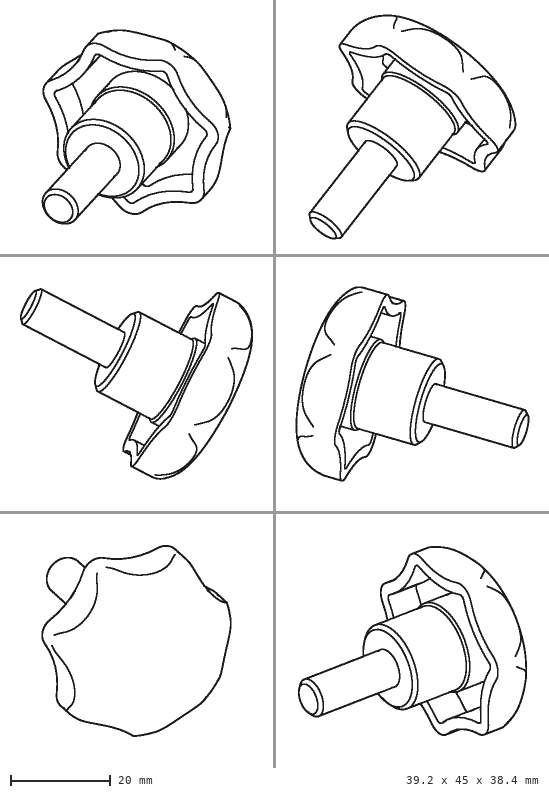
import cadquery as cq
import math

LOBES = 7
TIP_REACH = 20.0
TIP_ROUND = 3.6
VALLEY_REACH = 17.1
WALL = 2.5

HEAD_HEIGHT = 11.95
DOME_RADIUS = 60.03
SHOULDER_ROUND = 7.0
CAVITY_DEPTH = 7.0

COLLAR_DIAMETER = 19.0
HUB_DIAMETER = 18.0
HUB_LENGTH = 13.0
STUD_DIAMETER = 8.0
STUD_LENGTH = 20.0
CHAMFER = 0.8


def polar(radius, angle):
    return (radius * math.cos(angle), radius * math.sin(angle))


def star(inset, depth):
    """Seven-lobed prism from the rim toward +Y, its outline moved inward by inset."""
    half_pitch = math.pi / LOBES
    tip_center = TIP_REACH - TIP_ROUND
    across = tip_center * math.sin(half_pitch)
    along = VALLEY_REACH - tip_center * math.cos(half_pitch)
    scallop = (across**2 + along**2 - TIP_ROUND**2) / (2 * (TIP_ROUND - along))
    swing = math.asin(across / (scallop + TIP_ROUND))
    reach = VALLEY_REACH + scallop - (scallop + inset) * math.cos(swing)
    offset = (scallop + inset) * math.sin(swing)
    joint_radius = math.hypot(reach, offset)
    joint_angle = math.atan2(offset, reach)

    first_valley = math.pi / 2
    outline = cq.Workplane("XZ").moveTo(*polar(joint_radius, first_valley - joint_angle))
    for i in range(LOBES):
        valley = first_valley + 2 * i * half_pitch
        tip = valley + half_pitch
        next_valley = tip + half_pitch
        outline = outline.threePointArc(
            polar(VALLEY_REACH - inset, valley), polar(joint_radius, valley + joint_angle)
        )
        outline = outline.threePointArc(
            polar(TIP_REACH - inset, tip), polar(joint_radius, next_valley - joint_angle)
        )
    return outline.close().extrude(-depth)


def domed_blank():
    """Solid of revolution with a spherical dome rounded tangentially into its side."""
    dome_center = HEAD_HEIGHT - DOME_RADIUS
    round_x = TIP_REACH - SHOULDER_ROUND
    center_gap = DOME_RADIUS - SHOULDER_ROUND
    round_y = dome_center + math.sqrt(center_gap**2 - round_x**2)
    lean = math.asin(round_x / center_gap)

    def on_dome(angle):
        return (DOME_RADIUS * math.sin(angle), dome_center + DOME_RADIUS * math.cos(angle))

    middle = (lean + math.pi / 2) / 2
    round_middle = (
        round_x + SHOULDER_ROUND * math.sin(middle),
        round_y + SHOULDER_ROUND * math.cos(middle),
    )
    return (
        cq.Workplane("XY")
        .lineTo(TIP_REACH, 0)
        .lineTo(TIP_REACH, round_y)
        .threePointArc(round_middle, on_dome(lean))
        .threePointArc(on_dome(lean / 2), (0, HEAD_HEIGHT))
        .close()
        .revolve(360, (0, 0), (0, 1))
    )


def rod(diameter, start, end):
    """Cylinder on the Y axis from start down to end."""
    return cq.Workplane("XZ", origin=(0, start, 0)).circle(diameter / 2).extrude(start - end)


stud_end = -HUB_LENGTH - STUD_LENGTH
head = domed_blank().intersect(star(0, HEAD_HEIGHT)).cut(star(WALL, CAVITY_DEPTH))
collar_bevel = (COLLAR_DIAMETER - HUB_DIAMETER) / 2
collar = rod(COLLAR_DIAMETER, CAVITY_DEPTH, 0).faces("<Y").chamfer(collar_bevel)
hub = rod(HUB_DIAMETER, CAVITY_DEPTH, -HUB_LENGTH).faces("<Y").chamfer(CHAMFER)
stud = rod(STUD_DIAMETER, -HUB_LENGTH, stud_end).faces("<Y").chamfer(CHAMFER)

result = head.union(collar).union(hub).union(stud)